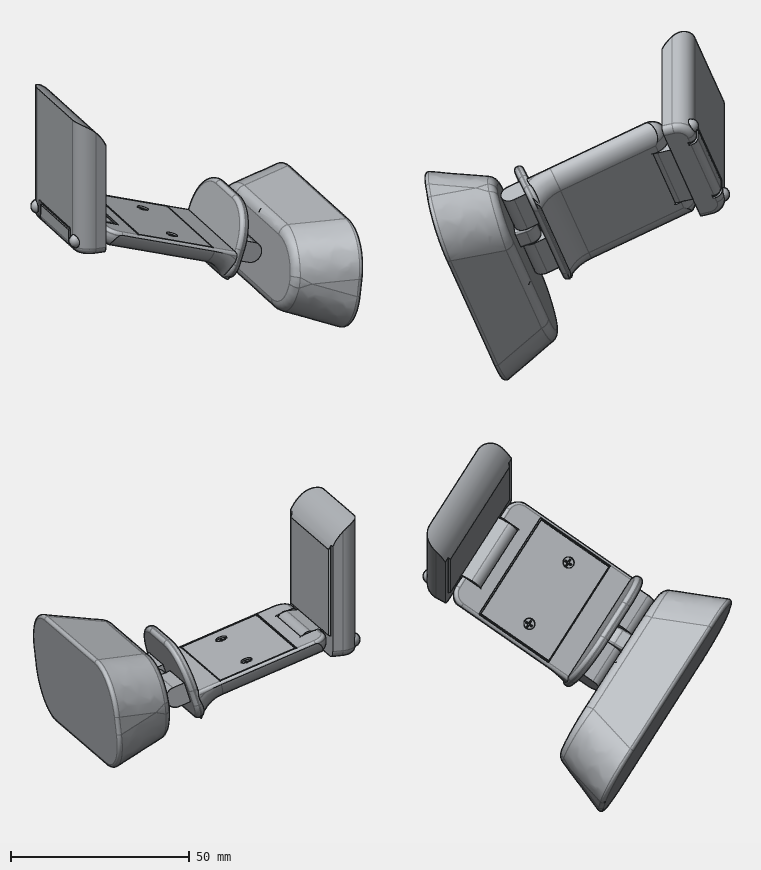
import cadquery as cq
import math


overcut = 1.0

housing_tilt = 6.5
housing_y = 37.31
housing_z = -17.54
housing_half_width = 35.53
housing_half_height = 15.95
housing_depth = 18.5
side_taper = 20.0
top_taper = 12.0
housing_corner_radius = 13.8
housing_end_radius = 10.0
rear_edge_radius = 3.0
front_edge_radius = 0.9

clip_tilt = 18.0
clip_x = -8.97
hinge_y = 15.81
hinge_z = -14.31
hinge_radius = 3.0
lug_inner_half = 3.0
lug_outer_half = 15.1
tongue_half_width = 2.75
tongue_root = 5.5
tongue_radius = 3.2
tongue_edge_radius = 0.5

plate_width = 36.3
plate_front = -3.55
plate_thickness = 2.65
plate_top = 13.2
plate_bottom = -8.97
plate_top_radius = 12.2
plate_bottom_radius = 5.3
plate_edge_radius = 1.2

arm_width = 36.0
arm_end = -46.5
arm_thickness = 5.34
arm_end_radius = 4.3
arm_end_bottom_radius = 4.25
arm_side_radius = 5.25
arm_top_radius = 1.0
neck_start = -12.83
neck_radius = 8.75
neck_tip_inset = 0.9

cover_width = 33.0
cover_start = -13.25
cover_end = -36.5
cover_side_gap = 0.42
cover_start_gap = 0.2
cover_end_gap = 0.45
cover_gap_depth = 0.6
screw_half_spacing = 10.75
screw_y = -23.5
screw_radius = 1.6
screw_recess = 0.5
cross_length = 2.2
cross_width = 0.4
cross_depth = 0.4

flap_width = 36.3
flap_rear = -37.69
flap_front = -29.6
flap_top = 33.08
flap_bottom = -6.69
flap_corner_radius = 5.06
flap_bottom_radius = 2.0
flap_top_arc_radius = 12.9
pad_top = 24.7
pad_width = 33.2
pad_thickness = 0.54
pad_front = flap_front + pad_thickness
pad_bottom = -0.5
pad_edge = 0.4
foot_radius = 2.0
foot_half_spacing = 14.06
foot_y = -37.0
foot_z = -3.12

barrel_y = -25.75
barrel_z = -3.56
barrel_radius = 2.95
barrel_width = 20.2
pocket_width = 20.75
pocket_radius = 3.5
window_width = 22.75
window_top = -0.12
window_gap = 1.0
window_depth = 0.56


def block(x_mid, width, y0, y1, z0, z1):
    """Box centred on x_mid, between two Y and two Z limits."""
    size = (width, abs(y1 - y0), abs(z1 - z0))
    centre = (x_mid, (y0 + y1) / 2, (z0 + z1) / 2)
    return cq.Workplane("XY").box(*size).translate(centre)


def x_cylinder(x_mid, width, y, z, radius):
    """Cylinder along X, centred on x_mid."""
    return (
        cq.Workplane("YZ", origin=(x_mid - width / 2, 0, 0))
        .center(y, z)
        .circle(radius)
        .extrude(width)
    )


def tilted(body, angle, y, z):
    """Raise the -Y end by angle about X, then move the local origin to (y, z)."""
    return body.rotate((0, 0, 0), (1, 0, 0), -angle).translate((0, y, z))


def to_clip_frame(y, z):
    """Clip-frame coordinates of a point given in part coordinates."""
    a = math.radians(clip_tilt)
    dy = y - hinge_y
    dz = z - hinge_z
    return dy * math.cos(a) - dz * math.sin(a), dy * math.sin(a) + dz * math.cos(a)


def tapered_block(edge_selector):
    """Frustum narrowing toward -Y, with the two slanted edges on one side rounded."""
    side_inset = housing_depth * math.tan(math.radians(side_taper))
    top_inset = housing_depth * math.tan(math.radians(top_taper))
    return (
        cq.Workplane("XZ")
        .rect(2 * housing_half_width, 2 * housing_half_height)
        .workplane(offset=housing_depth)
        .rect(2 * (housing_half_width - side_inset), 2 * (housing_half_height - top_inset))
        .loft(ruled=True)
        .edges("not(#Y or |X or |Z)")
        .edges(edge_selector)
        .fillet(housing_corner_radius)
    )


def round_edges(body, edges, radius):
    """Fillet the given edges of a one-solid body."""
    return cq.Workplane(body.val().fillet(radius, edges.vals()).Solids()[0])


def make_housing():
    body = tapered_block(">Z").intersect(tapered_block("<Z"))
    slack = 0.1
    crease_zone = cq.selectors.BoxSelector(
        (-housing_half_width - slack, -housing_depth - slack, -slack),
        (housing_half_width + slack, -slack, slack),
    )
    body = round_edges(body, body.edges(crease_zone), housing_end_radius)
    body = round_edges(body, body.faces("<Y").edges(), rear_edge_radius)
    body = round_edges(body, body.faces(">Y").edges(), front_edge_radius)
    return tilted(body, housing_tilt, housing_y, housing_z)


def make_tongue():
    """Hinge tongue that runs from the housing in between the lugs."""
    width = 2 * tongue_half_width
    root = block(clip_x, width, 0, tongue_root, -tongue_radius, tongue_radius)
    tongue = x_cylinder(clip_x, width, 0, 0, tongue_radius).union(root)
    tongue = tongue.faces("<X or >X").edges().fillet(tongue_edge_radius)
    return tilted(tongue, housing_tilt, hinge_y, hinge_z)


housing = make_housing().union(make_tongue())


def make_plate():
    half = plate_width / 2
    plate = (
        cq.Workplane("XZ", origin=(clip_x, plate_front, 0))
        .moveTo(-half, plate_bottom)
        .lineTo(half, plate_bottom)
        .lineTo(half, plate_top)
        .lineTo(-half, plate_top)
        .close()
        .extrude(plate_thickness)
    )
    plate = plate.edges("|Y and >Z").fillet(plate_top_radius)
    plate = plate.edges("|Y and <Z").fillet(plate_bottom_radius)
    return plate.faces("<Y or >Y").edges().fillet(plate_edge_radius)


def arm_blank(end):
    """Arm with square edges that flares down into the plate, from the plate to end."""
    root = plate_front - plate_thickness / 2
    run = root - neck_tip_inset - neck_start
    drop = neck_radius - math.sqrt(neck_radius**2 - run**2)
    mid_run = run / 2
    mid_drop = neck_radius - math.sqrt(neck_radius**2 - mid_run**2)
    return (
        cq.Workplane("YZ", origin=(clip_x - arm_width / 2, 0, 0))
        .moveTo(root, 0)
        .lineTo(end, 0)
        .lineTo(end, -arm_thickness)
        .lineTo(neck_start, -arm_thickness)
        .threePointArc(
            (neck_start + mid_run, -arm_thickness - mid_drop),
            (neck_start + run, -arm_thickness - drop),
        )
        .lineTo(root, -arm_thickness - drop)
        .close()
        .extrude(arm_width)
    )


def make_arm():
    """Rounded arm: wide rounding along the sides, tighter rounding around the end."""
    rounded_end = arm_blank(arm_end).edges("|Z and <Y").fillet(arm_end_radius)
    end_bottom = cq.selectors.NearestToPointSelector((clip_x, arm_end, -arm_thickness))
    rounded_end = rounded_end.edges(end_bottom).fillet(arm_end_bottom_radius)
    end_top = cq.selectors.NearestToPointSelector((clip_x, arm_end, 0))
    rounded_end = rounded_end.edges(end_top).fillet(arm_top_radius)

    mid_y = (arm_end + neck_start) / 2
    rounded_sides = arm_blank(arm_end - overcut)
    for side in (-1, 1):
        edge_point = (clip_x + side * arm_width / 2, mid_y, -arm_thickness)
        side_bottom = cq.selectors.NearestToPointSelector(edge_point)
        rounded_sides = rounded_sides.edges(side_bottom).fillet(arm_side_radius)
    return rounded_end.intersect(rounded_sides)


def make_lug(side):
    width = lug_outer_half - lug_inner_half
    x_mid = clip_x + side * (lug_outer_half + lug_inner_half) / 2
    root = block(x_mid, width, 0, plate_front - plate_thickness / 2, -hinge_radius, hinge_radius)
    return x_cylinder(x_mid, width, 0, 0, hinge_radius).union(root)


def cover_gap():
    """Narrow groove that outlines the cover panel on top of the arm."""
    outer = block(
        clip_x, cover_width + 2 * cover_side_gap,
        cover_start + cover_start_gap, cover_end - cover_end_gap, -cover_gap_depth, 0,
    )
    return outer.cut(block(clip_x, cover_width, cover_start, cover_end, -cover_gap_depth, 0))


def screw_recesses():
    """Round screw recesses, each with a cross slot in its floor."""
    places = [(clip_x + s * screw_half_spacing, screw_y) for s in (-1, 1)]
    recess = cq.Workplane("XY").pushPoints(places).circle(screw_radius).extrude(-screw_recess)
    depth = screw_recess + cross_depth
    for length, width in ((cross_length, cross_width), (cross_width, cross_length)):
        recess = recess.union(cq.Workplane("XY").pushPoints(places).rect(length, width).extrude(-depth))
    return recess


def flap_pocket():
    """Open pocket in the arm end, with a round wall around the flap barrel."""
    y, z = to_clip_frame(barrel_y, barrel_z)
    mouth = block(clip_x, pocket_width, y, arm_end - overcut, -arm_thickness - overcut, overcut)
    return x_cylinder(clip_x, pocket_width, y, z, pocket_radius).union(mouth)


def make_clip():
    clip = make_plate().union(make_arm())
    for side in (-1, 1):
        clip = clip.union(make_lug(side))
    clip = clip.cut(cover_gap()).cut(screw_recesses()).cut(flap_pocket())
    return tilted(clip, clip_tilt, hinge_y, hinge_z)


clip = make_clip()


def flap_top_cut():
    """Everything outside the curved top, seen along X."""
    mid_y = (flap_rear + pad_front) / 2
    mid_z = (flap_top + pad_top) / 2
    dy = pad_front - flap_rear
    dz = flap_top - pad_top
    half_chord = math.hypot(dy, dz) / 2
    sag = flap_top_arc_radius - math.sqrt(flap_top_arc_radius**2 - half_chord**2)
    bulge = (mid_y + sag * dz / (2 * half_chord), mid_z + sag * dy / (2 * half_chord))
    return (
        cq.Workplane("YZ", origin=(clip_x - flap_width, 0, 0))
        .moveTo(flap_rear, flap_top)
        .threePointArc(bulge, (pad_front, pad_top))
        .lineTo(pad_front + overcut, pad_top)
        .lineTo(pad_front + overcut, flap_top + overcut)
        .lineTo(flap_rear, flap_top + overcut)
        .close()
        .extrude(2 * flap_width)
    )


def flap_body():
    body = block(clip_x, flap_width, flap_rear, flap_front, flap_bottom, flap_top)
    body = body.edges("|Z and <Y").fillet(flap_corner_radius)
    body = body.faces("<Z").edges("not >Y").fillet(flap_bottom_radius)
    return body


def window_groove():
    """Shallow groove around the hinge panel on the rear face, open at the bottom."""
    back = flap_rear + window_depth + flap_bottom_radius
    panel_top = window_top - window_gap
    groove = block(clip_x, window_width, flap_rear, back, flap_bottom, window_top)
    groove = groove.cut(flap_body().translate((0, window_depth, window_depth)))
    return groove.cut(block(clip_x, pocket_width, flap_rear, back, flap_bottom, panel_top))


def make_flap():
    flap = flap_body().cut(window_groove())
    pad = block(clip_x, pad_width, flap_front, pad_front, pad_bottom, flap_top)
    flap = flap.union(pad.edges("|Z and >Y").chamfer(pad_edge)).cut(flap_top_cut())
    barrel = x_cylinder(clip_x, barrel_width, barrel_y, barrel_z, barrel_radius)
    web = block(
        clip_x, barrel_width, flap_front, barrel_y,
        barrel_z - barrel_radius, barrel_z + barrel_radius,
    )
    flap = flap.union(barrel.union(web))
    for side in (-1, 1):
        foot = cq.Workplane("XY").sphere(foot_radius)
        flap = flap.union(foot.translate((clip_x + side * foot_half_spacing, foot_y, foot_z)))
    return flap


flap = make_flap()

bodies = [housing, clip, flap]
result = cq.Compound.makeCompound([body.solids().val() for body in bodies])